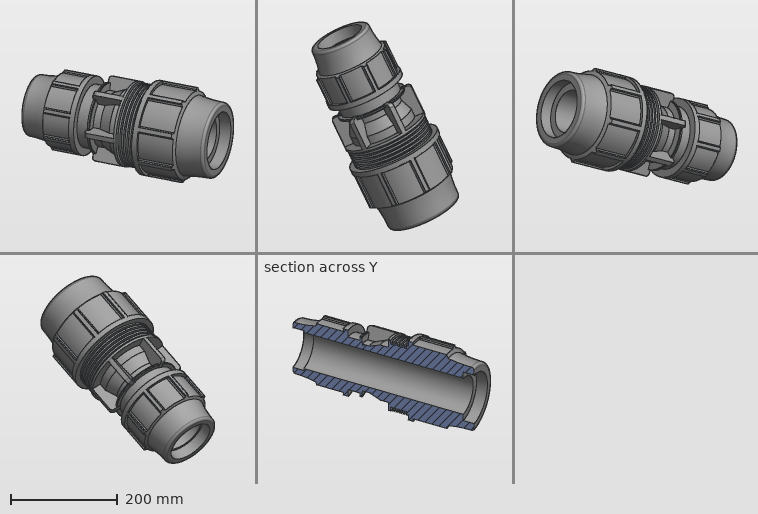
import cadquery as cq
import math

total_length = 380.0

bore_dia = 81.5
small_socket_dia = 90.0
large_socket_dia = 110.0
socket_depth = 22.8

small_mouth_radius = 59.0
small_mouth_fillet = 5.5
small_cone_end = 47.5
small_cone_radius = 64.5
small_body_radius = 70.3
small_flange_radius = 76.0
small_chamfer_length = 4.37
small_flange_start = 105.3
small_flange_end = 116.0

large_mouth_radius = 72.5
large_mouth_fillet = 5.7
large_cone_end = 325.5
large_cone_radius = 77.0
large_body_radius = 84.7
large_flange_radius = 90.5
large_chamfer_length = 5.7
large_flange_start = 241.3
large_flange_end = 252.0

grip_rib_count = 8
small_rib_width = 7.0
large_rib_width = 8.5
rib_root_fillet = 2.3

neck_radius = 60.8
disc_start = 140.2
disc_end = 143.3
disc_step_end = 144.8
disc_step_radius = 67.5
disc_radius = 68.5
disc_back_draft = 1.0
core_radius = 54.0
core_cone_start = 160.5
core_cone_end = 183.0
shoulder_radius = 63.5
collar_start = 200.0
collar_end = 205.2
collar_radius = 81.5
web_count = 6
web_start = 139.5
web_thickness = 10.0
web_corner_radius = 7.0

thread_root_radius = 72.4
thread_radius = 79.6
thread_start = 208.2
thread_pitch = 7.4
thread_width = 4.0
thread_count = 5


def revolve_about_x(profile):
    return profile.close().revolve(360, (0, 0, 0), (1, 0, 0))


def cylinder(start, end, radius):
    return cq.Workplane("YZ", origin=(start, 0, 0)).circle(radius).extrude(end - start)


def nut_mouth(mouth_radius, fillet, cone_end, cone_radius):
    """Rounded mouth and flaring outer face, from the open end at X = 0 to cone_end."""
    slant = fillet * math.sqrt(0.5)
    profile = (
        cq.Workplane("XY")
        .lineTo(0, mouth_radius - fillet)
        .threePointArc(
            (fillet - slant, mouth_radius - fillet + slant),
            (fillet, mouth_radius),
        )
        .tangentArcPoint((cone_end, cone_radius), relative=False)
        .lineTo(cone_end, 0)
    )
    return revolve_about_x(profile)


def grip_ribs(length, body_radius, flange_radius, width):
    """Ribs around the nut with concave fillets at their roots, reaching past flange_radius."""
    foot = width / 2 + rib_root_fillet
    top = flange_radius + 3.8
    rib = (
        cq.Workplane("YZ")
        .moveTo(0, -foot)
        .lineTo(body_radius, -foot)
        .radiusArc((body_radius + rib_root_fillet, -width / 2), -rib_root_fillet)
        .lineTo(top, -width / 2)
        .lineTo(top, width / 2)
        .lineTo(body_radius + rib_root_fillet, width / 2)
        .radiusArc((body_radius, foot), -rib_root_fillet)
        .lineTo(0, foot)
        .close()
        .extrude(length)
    )
    step = 360 / grip_rib_count
    ribs = cq.Workplane("XY")
    for i in range(grip_rib_count):
        ribs = ribs.add(rib.rotate((0, 0, 0), (1, 0, 0), (i + 0.5) * step))
    return ribs.combine()


def nut(
    mouth_radius, fillet, cone_end, cone_radius, body_radius,
    flange_radius, chamfer_length, flange_start, flange_end, rib_width,
):
    """Nut with its open end at X = 0 and its flange towards +X."""
    envelope = revolve_about_x(
        cq.Workplane("XY", origin=(cone_end, 0, 0))
        .lineTo(0, cone_radius)
        .lineTo(chamfer_length, flange_radius)
        .lineTo(flange_end - cone_end, flange_radius)
        .lineTo(flange_end - cone_end, 0)
    )
    ribbed = (
        cylinder(0, flange_end, body_radius)
        .union(cylinder(flange_start, flange_end, flange_radius))
        .union(grip_ribs(flange_end, body_radius, flange_radius, rib_width))
        .intersect(envelope)
    )
    return nut_mouth(mouth_radius, fillet, cone_end, cone_radius).union(ribbed)


def coupling_body():
    """Neck, disc, stepped core, collar and threaded end as one turned shape."""
    profile = (
        cq.Workplane("XY", origin=(small_flange_start, 0, 0))
        .polyline([(x - small_flange_start, r) for x, r in [
            (small_flange_start, 0),
            (small_flange_start, neck_radius),
            (disc_start, neck_radius),
            (disc_start, disc_radius),
            (disc_end, disc_radius),
            (disc_end, disc_step_radius),
            (disc_step_end, disc_step_radius),
            (disc_step_end + disc_back_draft, core_radius),
            (core_cone_start, core_radius),
            (core_cone_end, shoulder_radius),
            (collar_start, shoulder_radius),
            (collar_start, collar_radius),
            (collar_end, collar_radius),
            (collar_end, thread_root_radius),
            (large_flange_end, thread_root_radius),
            (large_flange_end, 0),
        ]])
    )
    body = revolve_about_x(profile)
    for i in range(thread_count):
        start = thread_start + i * thread_pitch
        body = body.union(cylinder(start, start + thread_width, thread_radius))
    return body


def webs():
    """Radial webs between the disc and the collar, the first one towards +Y."""
    blank = (
        cq.Workplane("XY", origin=(0, 0, -web_thickness / 2))
        .moveTo(web_start, 0)
        .lineTo(web_start, collar_radius - web_corner_radius)
        .radiusArc((web_start + web_corner_radius, collar_radius), web_corner_radius)
        .lineTo(collar_start, collar_radius)
        .lineTo(collar_start, 0)
        .close()
        .extrude(web_thickness)
    )
    web = blank.intersect(cylinder(web_start, collar_start, collar_radius))
    all_webs = web
    for i in range(1, web_count):
        all_webs = all_webs.union(web.rotate((0, 0, 0), (1, 0, 0), i * 360 / web_count))
    return all_webs


small_nut = nut(
    small_mouth_radius, small_mouth_fillet, small_cone_end, small_cone_radius, small_body_radius,
    small_flange_radius, small_chamfer_length, small_flange_start, small_flange_end,
    small_rib_width,
)
large_nut = nut(
    large_mouth_radius, large_mouth_fillet, total_length - large_cone_end, large_cone_radius,
    large_body_radius, large_flange_radius, large_chamfer_length,
    total_length - large_flange_end, total_length - large_flange_start,
    large_rib_width,
).mirror("YZ").translate((total_length, 0, 0))

result = (
    coupling_body()
    .union(webs())
    .union(small_nut)
    .union(large_nut)
    .cut(cylinder(0, total_length, bore_dia / 2))
    .cut(cylinder(0, socket_depth, small_socket_dia / 2))
    .cut(cylinder(total_length - socket_depth, total_length, large_socket_dia / 2))
)